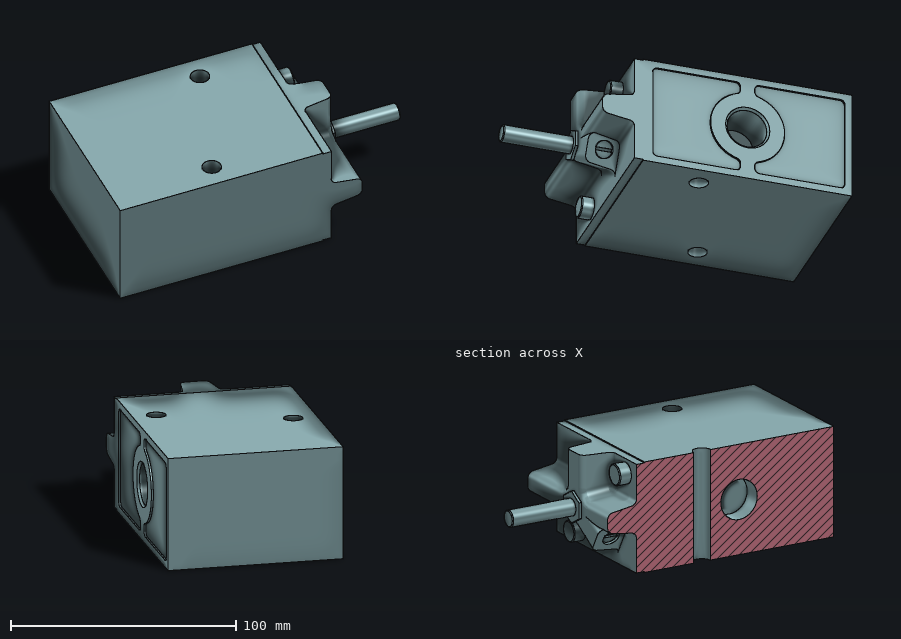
import cadquery as cq


width = 80.0
height = 52.0
body_length = 98.0

mount_diameter = 8.6
mount_x = 29.0
mount_y_step = 19.2

port_y = 48.9
port_diameter = 18.5
port_depth = 19.6
port_chamfer = 1.0

panel_y_min = 3.3
panel_y_max = 93.5
panel_height = 45.3
panel_depth = 0.9
panel_corner = 2.3
panel_web = 6.8
port_land_diameter = 34.7

plate_thickness = 4.1
plate_step = 0.5
plate_height = height - 2 * plate_step
rib_height = 15.0
rib_draft = 8.5
cross_rib_width = 13.6
upright_rib_width = 17.2
rib_junction_radius = 5.0
rib_base_radius = 2.7
rib_top_radius = 3.2
rib_overrun = 12.1
edge_margin = 0.5

slant_angle = 210.0
slant_reach = 21.5
slot_screw_diameter = 8.2
slot_screw_recess = 1.2
slot_width = 1.4
slot_depth = 1.4
slot_screw_rise = 6.8

cap_screw_diameter = 10.0
cap_screw_height = 5.9
cap_screw_chamfer = 0.5
cap_screw_x = 19.8
cap_screw_z = 18.9

pin_tip_y = 151.0
pin_diameter = 8.0
pin_chamfer = 0.5
nut_across_corners = 15.1
nut_thickness = 1.4

plate_face_y = body_length + plate_thickness
rib_top_y = plate_face_y + rib_height


def facing_back(y):
    """Workplane at distance y along Y whose normal is +Y, local x = -X and local y = Z."""
    return cq.Workplane(cq.Plane(origin=(0, y, 0), xDir=(-1, 0, 0), normal=(0, 1, 0)))


def side_plane():
    """Workplane on the -X face at the port axis, local x = -Y and local y = Z."""
    return cq.Workplane(cq.Plane(origin=(-width / 2, port_y, 0), xDir=(0, -1, 0), normal=(-1, 0, 0)))


def make_body():
    body = cq.Workplane("XY").box(width, body_length, height, centered=(True, False, True))
    mounts = [(-mount_x, port_y + mount_y_step), (mount_x, port_y)]
    mount_holes = cq.Workplane("XY").pushPoints(mounts).circle(mount_diameter / 2).extrude(height, both=True)
    body = body.cut(mount_holes)
    for side in (-1, 1):
        body = body.cut(make_panel(side))
    body = body.cut(side_plane().circle(port_diameter / 2).extrude(-port_depth))
    rim_radius = port_diameter / 2 + port_chamfer
    rim = side_plane().circle(rim_radius).workplane(offset=-port_chamfer).circle(port_diameter / 2).loft()
    return body.cut(rim)


def make_panel(side):
    """Panel recess between the web and one end of the body, curved around the port land."""
    web_edge = side * panel_web / 2
    far_edge = port_y - panel_y_min if side > 0 else port_y - panel_y_max
    panel = (
        side_plane()
        .center((web_edge + far_edge) / 2, 0)
        .rect(abs(far_edge - web_edge), panel_height)
        .extrude(-panel_depth)
    )
    panel = panel.cut(side_plane().circle(port_land_diameter / 2).extrude(-panel_depth))
    return panel.edges("|X").fillet(panel_corner)


def draft_rib(x_length, z_width, z_centre=0):
    """Sharp-edged rib that narrows towards its crest."""
    foot = facing_back(plate_face_y).center(0, z_centre).rect(x_length, z_width)
    return foot.extrude(rib_height, taper=rib_draft)


def round_ribs(ribs):
    """Set drafted ribs on an oversize base and round their crests, then their feet."""
    base = facing_back(plate_face_y).rect(3 * width, 3 * width).extrude(-plate_thickness)
    ribs = base.union(ribs)
    ribs = ribs.faces(">Y").edges().fillet(rib_top_radius)
    foot = cq.selectors.BoxSelector(
        (-width, plate_face_y - edge_margin, -width),
        (width, plate_face_y + edge_margin, width),
    )
    return ribs.edges(foot).fillet(rib_base_radius)


def make_cap():
    """Plate with a full-width rib and an upright rib rising from it to the top edge."""
    upright_length = plate_height / 2 + rib_overrun
    cross_rib = draft_rib(width + 2 * rib_overrun, cross_rib_width)
    upright_rib = draft_rib(upright_rib_width, upright_length, upright_length / 2)
    ribs = cross_rib.union(upright_rib).clean()
    junctions = cq.selectors.BoxSelector(
        (-upright_rib_width, plate_face_y + edge_margin, 0),
        (upright_rib_width, rib_top_y - edge_margin, cross_rib_width / 2),
    )
    ribs = ribs.edges(junctions).fillet(rib_junction_radius)
    envelope = facing_back(body_length).rect(width, plate_height).extrude(plate_thickness + rib_height)
    return round_ribs(ribs).intersect(envelope)


def make_slanted_rib():
    """Rib cut off square at its outer end, built along +X and then turned about the pin axis."""
    rib_length = 2 * (slant_reach + rib_overrun)
    envelope = cq.Workplane("XY").box(
        slant_reach, rib_height + plate_thickness, upright_rib_width + 2 * rib_base_radius,
        centered=(False, False, True),
    ).translate((0, body_length, 0))
    rib = round_ribs(draft_rib(rib_length, upright_rib_width)).intersect(envelope)

    end_face = cq.Workplane("YZ", origin=(slant_reach, plate_face_y + slot_screw_rise, 0))
    rib = rib.cut(end_face.circle(slot_screw_diameter / 2).extrude(-slot_screw_recess))
    screw_face = end_face.workplane(offset=-slot_screw_recess)
    slot = screw_face.rect(slot_screw_diameter, slot_width).extrude(-slot_depth)
    slot = slot.intersect(screw_face.circle(slot_screw_diameter / 2).extrude(-slot_depth))
    return rib.cut(slot).rotate((0, 0, 0), (0, 1, 0), -slant_angle)


def make_cap_screws():
    heads = (
        facing_back(plate_face_y)
        .pushPoints([(cap_screw_x, cap_screw_z), (-cap_screw_x, -cap_screw_z)])
        .circle(cap_screw_diameter / 2)
        .extrude(cap_screw_height)
    )
    return heads.faces(">Y").edges().chamfer(cap_screw_chamfer)


def make_pin():
    pin = facing_back(rib_top_y).circle(pin_diameter / 2).extrude(pin_tip_y - rib_top_y)
    pin = pin.faces(">Y").edges().chamfer(pin_chamfer)
    nut_plane = facing_back(rib_top_y).transformed(rotate=(0, 0, 90))
    nut = nut_plane.polygon(6, nut_across_corners).extrude(nut_thickness)
    return pin.union(nut)


result = (
    make_body()
    .union(make_cap())
    .union(make_slanted_rib())
    .union(make_cap_screws())
    .union(make_pin())
)